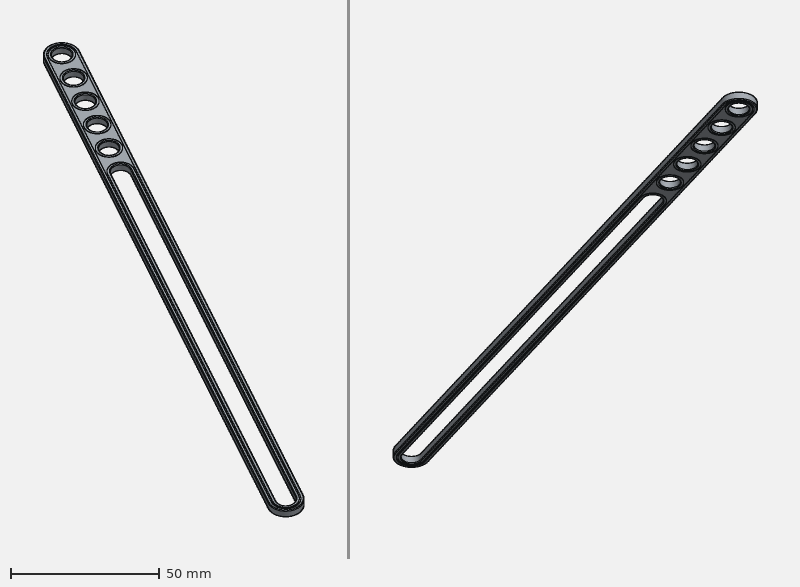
import cadquery as cq

length = 250.0
width = 12.5

web_thickness = 2.8
lip_height = 0.18
lip_width = 1.12
edge_chamfer = 0.3
thickness = web_thickness + 2 * lip_height

opening_width = 7.0
hole_count = 5
hole_pitch = width

end_centre_x = (length - width) / 2
hole_centres = [-end_centre_x + index * hole_pitch for index in range(hole_count)]
slot_start_x = -end_centre_x + hole_count * hole_pitch

openings = [(x, x) for x in hole_centres]
openings.append((slot_start_x, end_centre_x))


def round_ended_prism(start_x, end_x, across, bottom, height):
    """Prism along X with round ends centred on start_x and end_x; a cylinder where they coincide."""
    plane = cq.Workplane("XY", origin=((start_x + end_x) / 2, 0, bottom))
    if end_x > start_x:
        outline = plane.slot2D(end_x - start_x + across, across)
    else:
        outline = plane.circle(across / 2)
    return outline.extrude(height)


def make_pierced_bar():
    """Full-thickness bar with its openings; every edge of both faces is chamfered."""
    bottom = -thickness / 2
    bar = round_ended_prism(-end_centre_x, end_centre_x, width, bottom, thickness)
    for start_x, end_x in openings:
        bar = bar.cut(round_ended_prism(start_x, end_x, opening_width, bottom, thickness))
    return bar.faces("|Z").edges().chamfer(edge_chamfer)


def make_recess(bottom):
    """Shallow recess that leaves a lip along the outline and around each opening."""
    recess_width = width - 2 * lip_width
    boss_width = opening_width + 2 * lip_width
    recess = round_ended_prism(-end_centre_x, end_centre_x, recess_width, bottom, lip_height)
    for start_x, end_x in openings:
        recess = recess.cut(round_ended_prism(start_x, end_x, boss_width, bottom, lip_height))
    return recess


result = make_pierced_bar()
for recess_bottom in (-thickness / 2, web_thickness / 2):
    result = result.cut(make_recess(recess_bottom))
result = result.solids()